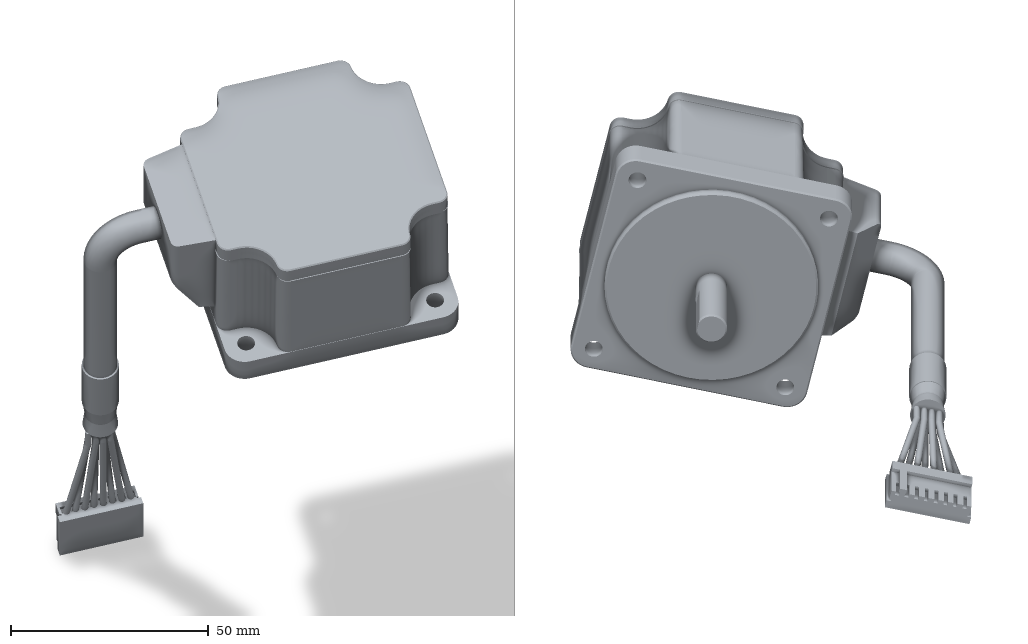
import cadquery as cq
import math


overall_depth = 98.0
overall_height = 137.29

flange_width = 61.1
flange_thickness = 7.6
flange_corner_radius = 5.2
flange_edge_chamfer = 0.4
hole_diameter = 4.5
hole_pitch = 49.6

motor_height = 41.8
cover_height = 4.6
case_width_bottom = 60.9
case_width_top = 60.3
rim_overhang = 0.2
rim_height = 0.3
scallop_radius = 8.0
scallop_center_x = 27.8
scallop_center_y = 25.5
scallop_edge_radius = 2.8
cover_edge_chamfer = 0.3

pilot_diameter = 54.0
pilot_height = 2.0
pilot_chamfer = 0.5
shaft_diameter = 8.0
shaft_length = 24.2
shaft_chamfer = 0.4
flat_start = 8.5
flat_depth = 0.5

box_base_width = 31.2
box_end_width = 28.2
box_base_y = -flange_width / 2
box_end_y = -41.1
box_base_top_gap = 0.4
box_end_top_gap = 1.5
box_bottom_z = 13.4
box_bottom_rise = 0.5
box_slope_start_y = -34.5
box_slope_end_z = 24.6
box_edge_radius = 2.0

cable_diameter = 8.5
cable_exit_z = 32.65
cable_axis_y = -56.05
cable_bend_radius = 10.0
sleeve_diameter = 9.4
sleeve_top_z = -22.2
sleeve_bottom_z = -37.4
crimp_diameter = 9.0
crimp_waist_diameter = 8.0
crimp_waist_z = -42.4
crimp_bottom_z = -47.0

wire_count = 8
wire_diameter = 1.7
wire_bend_z = -52.3
wire_second_bend_z = -72.2
wire_second_bend_share = 0.65
wire_bundle_pitch = 0.97
wire_bundle_x = 0.25
wire_bundle_y = -56.3
wire_row_offset = 1.4
wire_pitch = 2.5

connector_top_z = -81.35
connector_bottom_z = motor_height - overall_height
connector_end_y = flange_width / 2 - overall_depth
connector_length = 21.9
connector_min_x = -3.25
connector_step_x = 0.3
connector_max_x = 2.75
connector_front_inset = 0.6
panel_depth = 1.0
panel_top_gap = 4.0
rib_center_offset = 7.5
rib_width = 1.9
slot_width = 1.0
slot_height = 4.9
slot_depth = 1.0
cavity_min_x = -1.8
cavity_max_x = 0.3
cavity_length = 1.9
cavity_depth = 1.0
wire_embedment = 0.5
end_groove_width = 0.45
end_groove_depth = 1.1


def box_between(x_range, y_range, z_range):
    """Rectangular block spanning the given (low, high) limits."""
    size = [high - low for low, high in (x_range, y_range, z_range)]
    return cq.Workplane().box(*size, centered=False).translate((x_range[0], y_range[0], z_range[0]))


def scalloped_prism(width, bottom_z, height, draft=0.0):
    """Square prism with a rounded-edge scallop at each corner, optionally drafted inward."""
    slice_height = 1.0
    face_tolerance = 0.01
    blank = cq.Workplane().rect(width, width).extrude(slice_height)
    near_x = scallop_center_x - scallop_radius
    reach = width / 2 + scallop_radius
    round_cut = cq.Workplane().circle(scallop_radius).extrude(slice_height)
    round_cut = round_cut.translate((scallop_center_x, scallop_center_y, 0))
    side_cut = box_between((near_x, reach), (scallop_center_y, reach), (0, slice_height))
    scallop = round_cut.union(side_cut)
    outline = blank
    for corner in (scallop, scallop.mirror("YZ")):
        outline = outline.cut(corner).cut(corner.mirror("XZ"))
    mouth_edges = outline.edges("|Z").filter(
        lambda edge: max(abs(edge.Center().x), abs(edge.Center().y)) > width / 2 - face_tolerance
    )
    outline = outline.newObject([outline.val().fillet(scallop_edge_radius, mouth_edges.vals())])
    prism = outline.faces("<Z").wires().toPending().extrude(height, taper=draft, combine=False)
    return prism.translate((0, 0, bottom_z))


def make_flange():
    plate = cq.Workplane().rect(flange_width, flange_width).extrude(flange_thickness)
    plate = plate.edges("|Z").fillet(flange_corner_radius)
    plate = plate.faces("<Z").chamfer(flange_edge_chamfer)
    holes = (
        cq.Workplane()
        .rect(hole_pitch, hole_pitch, forConstruction=True)
        .vertices()
        .circle(hole_diameter / 2)
        .extrude(flange_thickness)
    )
    return plate.cut(holes)


def make_case():
    """Drafted case, thin rim and straight rear cover."""
    joint_z = motor_height - cover_height
    case_height = joint_z - flange_thickness
    draft = math.degrees(math.atan((case_width_bottom - case_width_top) / 2 / case_height))
    case = scalloped_prism(case_width_bottom, flange_thickness, case_height, draft)
    rim = scalloped_prism(case_width_top + 2 * rim_overhang, joint_z - rim_height / 2, rim_height)
    cover = scalloped_prism(case_width_top, joint_z, cover_height)
    cover = cover.faces(">Z").chamfer(cover_edge_chamfer)
    return case.union(rim).union(cover)


def make_outlet_box():
    """Tapered box whose underside slopes up towards the cable."""
    side_profile = [
        (0, motor_height - box_base_top_gap),
        (box_base_y, motor_height - box_base_top_gap),
        (box_end_y, motor_height - box_end_top_gap),
        (box_end_y, box_slope_end_z),
        (box_slope_start_y, box_bottom_z + box_bottom_rise),
        (box_base_y, box_bottom_z),
        (0, box_bottom_z),
    ]
    side = cq.Workplane("YZ").polyline(side_profile).close().extrude(box_base_width / 2, both=True)
    plan_profile = [
        (box_base_width / 2, 0),
        (box_base_width / 2, box_base_y),
        (box_end_width / 2, box_end_y),
        (-box_end_width / 2, box_end_y),
        (-box_base_width / 2, box_base_y),
        (-box_base_width / 2, 0),
    ]
    plan = cq.Workplane().polyline(plan_profile).close().extrude(motor_height)
    plan = plan.edges("|Z and <Y").fillet(box_edge_radius)
    return side.intersect(plan)


def make_shaft():
    pilot = cq.Workplane().circle(pilot_diameter / 2).extrude(-pilot_height)
    pilot = pilot.faces("<Z").chamfer(pilot_chamfer)
    shaft = cq.Workplane().circle(shaft_diameter / 2).extrude(-shaft_length)
    shaft = shaft.faces("<Z").chamfer(shaft_chamfer)
    radius = shaft_diameter / 2
    flat = box_between((-radius, radius), (radius - flat_depth, radius), (-shaft_length, -flat_start))
    return pilot.union(shaft.cut(flat))


def make_motor():
    return make_flange().union(make_case()).union(make_outlet_box()).union(make_shaft())


def make_cord():
    """Round cord leaving the box, bent down, with its sleeve and crimped end."""
    bend_start_y = cable_axis_y + cable_bend_radius
    bend_end_z = cable_exit_z - cable_bend_radius
    path = (
        cq.Workplane("YZ")
        .moveTo(box_end_y, cable_exit_z)
        .lineTo(bend_start_y, cable_exit_z)
        .tangentArcPoint((cable_axis_y, bend_end_z), relative=False)
        .lineTo(cable_axis_y, sleeve_top_z)
    )
    start_plane = cq.Plane(origin=(0, box_end_y, cable_exit_z), xDir=(1, 0, 0), normal=(0, -1, 0))
    cord = cq.Workplane(start_plane).circle(cable_diameter / 2).sweep(path)
    end_profile = [
        (0, sleeve_top_z),
        (sleeve_diameter / 2, sleeve_top_z),
        (sleeve_diameter / 2, sleeve_bottom_z),
        (crimp_diameter / 2, sleeve_bottom_z),
        (crimp_waist_diameter / 2, crimp_waist_z),
        (crimp_diameter / 2, crimp_bottom_z),
        (0, crimp_bottom_z),
    ]
    end = cq.Workplane("XZ").polyline(end_profile).close().revolve(360, (0, 0), (0, 1))
    return cord.union(end.translate((0, cable_axis_y, 0)))


def make_wire(index):
    """One wire: leaves the crimp in a two-row bundle and fans out to a single row."""
    place = index - (wire_count - 1) / 2
    row_side = 1 - 2 * (index % 2)
    top_x = wire_bundle_x + row_side * wire_row_offset
    top_y = wire_bundle_y + place * wire_bundle_pitch
    bottom_x = 0.0
    bottom_y = connector_end_y + connector_length / 2 + place * wire_pitch
    middle_x = top_x + wire_second_bend_share * (bottom_x - top_x)
    middle_y = top_y + wire_second_bend_share * (bottom_y - top_y)
    path = cq.Workplane().polyline(
        [
            (top_x, top_y, crimp_bottom_z),
            (top_x, top_y, wire_bend_z),
            (middle_x, middle_y, wire_second_bend_z),
            (bottom_x, bottom_y, connector_top_z - cavity_depth - wire_embedment),
        ]
    )
    section = cq.Workplane(origin=(top_x, top_y, crimp_bottom_z)).circle(wire_diameter / 2)
    return section.sweep(path, transition="right")


def make_connector():
    """Flat housing with a ribbed, recessed front, wire cavities and contact slots."""
    low_y = connector_end_y
    high_y = connector_end_y + connector_length
    center_y = (low_y + high_y) / 2
    z_range = (connector_bottom_z, connector_top_z)
    back = box_between((connector_step_x, connector_max_x), (low_y, high_y), z_range)
    front_y = (low_y + connector_front_inset, high_y - connector_front_inset)
    body = back.union(box_between((connector_min_x, connector_step_x), front_y, z_range))

    groove_x = (connector_step_x, connector_step_x + end_groove_width)
    body = body.cut(box_between(groove_x, (low_y, low_y + end_groove_depth), z_range))
    body = body.cut(box_between(groove_x, (high_y - end_groove_depth, high_y), z_range))

    panel_x = connector_min_x + panel_depth
    rib_low = center_y + rib_center_offset - rib_width / 2
    panel_z = (connector_bottom_z, connector_top_z - panel_top_gap)
    for y_range in ((low_y, rib_low), (rib_low + rib_width, high_y)):
        body = body.cut(box_between((connector_min_x, panel_x), y_range, panel_z))

    slot_x = (panel_x, panel_x + slot_depth)
    slot_z = (connector_bottom_z, connector_bottom_z + slot_height)
    cavity_x = (cavity_min_x, cavity_max_x)
    cavity_z = (connector_top_z - cavity_depth, connector_top_z)
    for index in range(wire_count):
        wire_y = center_y + (index - (wire_count - 1) / 2) * wire_pitch
        slot_y = (wire_y - slot_width / 2, wire_y + slot_width / 2)
        cavity_y = (wire_y - cavity_length / 2, wire_y + cavity_length / 2)
        body = body.cut(box_between(slot_x, slot_y, slot_z))
        body = body.cut(box_between(cavity_x, cavity_y, cavity_z))
    return body


def make_cable():
    cable = make_cord().union(make_connector())
    for index in range(wire_count):
        cable = cable.union(make_wire(index))
    return cable


motor = make_motor()
cable = make_cable()
result = cq.Compound.makeCompound([motor.val(), cable.val()])